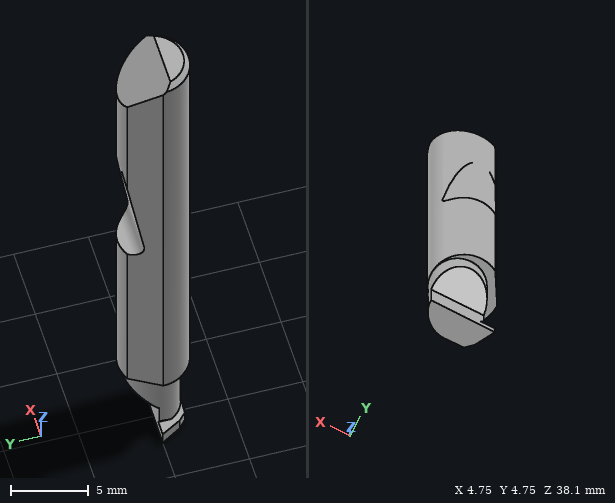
import cadquery as cq
import math

total_length = 38.1
shank_diameter = 4.75
shank_radius = shank_diameter / 2
shank_bottom = 6.32
top_chamfer = 0.4
bevel_start_y = -0.6

notch_top = 28.5
notch_bottom = 19.65
notch_floor_y = 0.9
notch_radius = 1.0

neck_diameter = 3.8
neck_radius = neck_diameter / 2
neck_x = shank_radius - neck_radius
neck_bevel_top = 4.57

head_top = 0.95
tip_x = -2.25
flank_corner = (-1.5, -1.37)
heel_corner = (-0.95, -1.85)
clearance_top = 1.3
clearance_depth = 0.2
end_slope_x = math.tan(math.radians(2.0))
end_slope_y = math.tan(math.radians(3.0))

margin = 1.9


def prism_along_x(points):
    """Solid with a (Y, Z) outline, wide enough to pass through the whole part."""
    outline = cq.Workplane("YZ").polyline(points).close()
    return outline.extrude(shank_diameter, both=True)


def make_shank():
    shank = cq.Workplane("XY").workplane(offset=shank_bottom).circle(shank_radius)
    shank = shank.extrude(total_length - shank_bottom).faces(">Z").chamfer(top_chamfer)

    chord_end = (-shank_radius * math.cos(math.pi / 3), shank_radius * math.sin(math.pi / 3))
    flat = (
        cq.Workplane("XY").workplane(offset=shank_bottom)
        .polyline([(-shank_radius, 0), chord_end, (-shank_diameter, chord_end[1]), (-shank_diameter, 0)])
        .close().extrude(total_length)
    )

    bevel_end_y = shank_radius + margin
    bevel = prism_along_x([
        (bevel_start_y, total_length),
        (bevel_end_y, total_length - (bevel_end_y - bevel_start_y)),
        (bevel_end_y, total_length),
    ])
    return shank.cut(flat).cut(bevel).cut(make_notch())


def make_notch():
    """Long ramp into the back, ending in a rounded step."""
    outer_y = shank_radius + margin
    notch = prism_along_x([
        (shank_radius, notch_top),
        (notch_floor_y, notch_bottom),
        (outer_y, notch_bottom),
        (outer_y, notch_top),
    ])
    inner_corner = cq.selectors.NearestToPointSelector((0, notch_floor_y, notch_bottom))
    return notch.edges("|X").edges(inner_corner).fillet(notch_radius)


def make_neck():
    neck = cq.Workplane("XY").center(neck_x, 0).circle(neck_radius).extrude(shank_bottom)

    back_cut = prism_along_x([
        (neck_radius, neck_bevel_top),
        (0, neck_bevel_top - neck_radius),
        (0, -margin),
        (neck_radius, -margin),
    ])

    neck_left = neck_x - neck_radius
    clearance = (
        cq.Workplane("XZ")
        .polyline([
            (neck_left, clearance_top),
            (neck_left + clearance_depth, head_top),
            (neck_left, head_top),
        ])
        .close().extrude(neck_radius)
    )
    return neck.cut(back_cut).cut(clearance)


def make_head():
    outline = [(tip_x, 0), flank_corner, heel_corner, (neck_x, -neck_radius), (neck_x, 0)]
    return cq.Workplane("XY").polyline(outline).close().extrude(head_top)


def make_end_relief():
    """Wedge whose top rises from the cutting corner toward +X and -Y."""
    normal = (-end_slope_x, end_slope_y, 1)
    relief_plane = cq.Plane(origin=(tip_x, 0, 0), xDir=(1, 0, end_slope_x), normal=normal)
    size = 4 * shank_diameter
    return cq.Workplane(relief_plane).rect(size, size).extrude(-margin)


result = make_shank().union(make_neck()).union(make_head()).cut(make_end_relief())